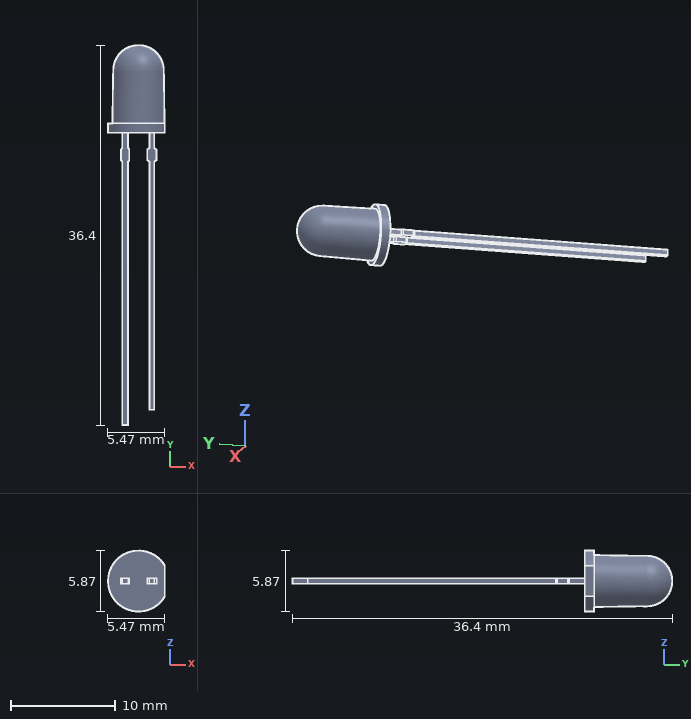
import cadquery as cq

overall_length = 36.43

flange_radius = 2.933
flange_thickness = 0.9
flat_distance = 2.532
barrel_base_radius = 2.5
dome_radius = 2.45
lens_length = 8.4
dome_start = lens_length - dome_radius

lead_spacing = 2.55
lead_thickness = 0.55
long_lead_width = 0.6
short_lead_width = 0.47
long_lead_length = overall_length - lens_length
short_lead_length = long_lead_length - 1.45

collar_start = 1.6
collar_end = 2.62
long_collar_width = 0.8
short_collar_width = 0.9
collar_slope = 0.15


def make_lens():
    """Revolve the flange, barrel and dome, then cut the flange flat."""
    dome_mid = dome_radius * 0.5 ** 0.5
    lens = (
        cq.Workplane("XY")
        .lineTo(flange_radius, 0)
        .lineTo(flange_radius, flange_thickness)
        .lineTo(barrel_base_radius, flange_thickness)
        .lineTo(dome_radius, dome_start)
        .threePointArc((dome_mid, dome_start + dome_mid), (0, lens_length))
        .close()
        .revolve(360, (0, 0, 0), (0, 1, 0))
    )
    flat_cutter = cq.Workplane("XY").box(
        flange_radius, lens_length, 2 * flange_radius, centered=(False, False, True)
    )
    return lens.cut(flat_cutter.translate((flat_distance, 0, 0)))


def make_lead(center_x, width, length, collar_width):
    """Extrude a flat lead with a slope-ended collar, centred on Z = 0."""
    half_width = width / 2
    half_collar = collar_width / 2
    right_side = [
        (half_width, 0),
        (half_width, -collar_start + collar_slope),
        (half_collar, -collar_start),
        (half_collar, -collar_end),
        (half_width, -collar_end - collar_slope),
        (half_width, -length),
    ]
    left_side = [(-x, y) for x, y in reversed(right_side)]
    outline = cq.Workplane("XY").polyline(right_side + left_side).close()
    return outline.extrude(lead_thickness / 2, both=True).translate((center_x, 0, 0))


long_lead = make_lead(-lead_spacing / 2, long_lead_width, long_lead_length, long_collar_width)
short_lead = make_lead(lead_spacing / 2, short_lead_width, short_lead_length, short_collar_width)

result = make_lens().union(long_lead).union(short_lead)